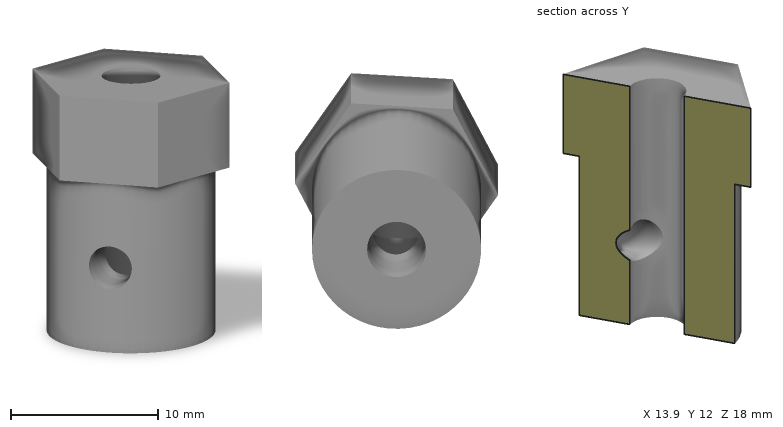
import cadquery as cq
import math

total_height = 18.0
head_height = total_height / 3
across_flats = 2 * head_height
shank_diameter = 11.5
bore_diameter = 4.0
side_hole_diameter = 3.0
side_hole_angle = -30.0

shank_height = total_height - head_height
across_corners = across_flats / math.cos(math.radians(30))
side_hole_z = shank_height / 2


def make_body():
    """Round shank with a hexagonal head on top, corners on the X axis."""
    shank = cq.Workplane("XY").circle(shank_diameter / 2).extrude(shank_height)
    head = (
        cq.Workplane("XY")
        .workplane(offset=shank_height)
        .polygon(6, across_corners)
        .extrude(head_height)
    )
    return shank.union(head)


def make_bore():
    """Axial hole through the full height."""
    return cq.Workplane("XY").circle(bore_diameter / 2).extrude(total_height)


def make_side_hole():
    """Radial hole from the bore axis out through one side of the shank."""
    return (
        cq.Workplane("YZ")
        .center(0, side_hole_z)
        .circle(side_hole_diameter / 2)
        .extrude(shank_diameter)
        .rotate((0, 0, 0), (0, 0, 1), side_hole_angle)
    )


result = make_body().cut(make_bore()).cut(make_side_hole())